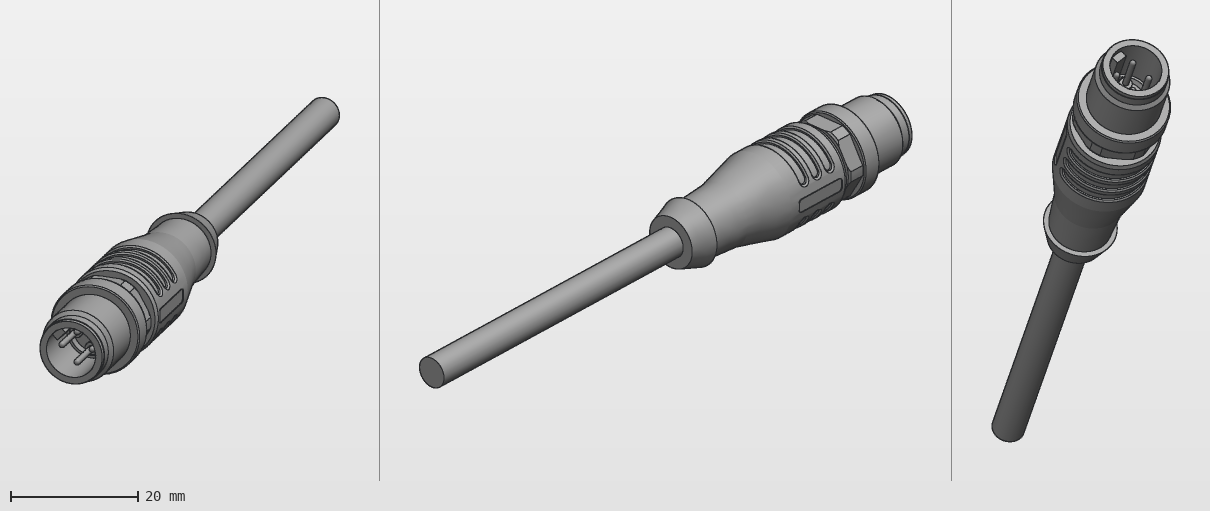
import cadquery as cq
import math


total_length = 106.5
lip_end = 0.7
nose_end = 2.3
collar_front = 10.0
nut_front = 13.4
nut_rear = 16.5
grip_front = 17.5
grip_rear = 30.6
cone_rear = 38.7
sleeve_rear = 46.3
bell_rear = 50.6

lip_diameter = 10.5
nose_diameter = 10.8
thread_diameter = 12.0
collar_diameter = 15.0
neck_diameter = 9.3
grip_diameter = 15.0
cone_rear_diameter = 11.2
sleeve_rear_diameter = 10.1
bell_front_diameter = 11.8
bell_rear_diameter = 9.0
cable_diameter = 5.2

thread_chamfer = (thread_diameter - nose_diameter) / 2
collar_chamfer = 0.2
grip_chamfer_length = 0.6
grip_chamfer_depth = 0.3
nut_chamfer = 0.3

nut_sides = 6
nut_across_flats = 13.0
nut_corner_diameter = 14.1

groove_count = 3
groove_pitch = 3.0
groove_middle = 23.7
groove_width = 1.6
groove_depth = 0.5
groove_end_height = 3.0
groove_rim_chamfer = 0.27

pocket_length = 10.0
pocket_height = 2.3
pocket_depth = 0.2
pocket_corner_radius = 0.6

bore_diameter = 8.3
bore_depth = 8.5
floor_cone_diameter = 7.5
floor_diameter = 6.4
floor_cone_depth = (floor_cone_diameter - floor_diameter) / 2
socket_depth = bore_depth + floor_cone_depth
key_width = 2.0
key_height = 1.3
key_angle = 135
key_recess = 1.1
pin_count = 4
pin_diameter = 1.0
pin_circle_diameter = 5.1
pin_recess = 2.1
pin_tip_radius = 0.48
pin_collar_diameter = 2.1
pin_collar_height = 0.5
root_overlap = 0.5


def revolve_profile(points):
    """Turn (diameter, station) points into a solid around the Y axis."""
    outline = [(diameter / 2, station) for diameter, station in points]
    return cq.Workplane("XY").polyline(outline).close().revolve(360, (0, 0, 0), (0, 1, 0))


def rod(diameter, start, end, x=0.0, z=0.0):
    """Cylinder parallel to Y between two stations."""
    plane = cq.Workplane("XZ", origin=(x, start, z))
    return plane.circle(diameter / 2).extrude(start - end)


def turned_body():
    return revolve_profile([
        (0, 0),
        (lip_diameter, 0),
        (lip_diameter, lip_end),
        (nose_diameter, lip_end),
        (nose_diameter, nose_end),
        (thread_diameter, nose_end + thread_chamfer),
        (thread_diameter, collar_front),
        (collar_diameter - 2 * collar_chamfer, collar_front),
        (collar_diameter, collar_front + collar_chamfer),
        (collar_diameter, nut_front - collar_chamfer),
        (collar_diameter - 2 * collar_chamfer, nut_front),
        (neck_diameter, nut_front),
        (neck_diameter, grip_front),
        (grip_diameter - 2 * grip_chamfer_depth, grip_front),
        (grip_diameter, grip_front + grip_chamfer_length),
        (grip_diameter, grip_rear),
        (cone_rear_diameter, cone_rear),
        (sleeve_rear_diameter, sleeve_rear),
        (bell_front_diameter, sleeve_rear),
        (bell_rear_diameter, bell_rear),
        (cable_diameter, bell_rear),
        (cable_diameter, total_length),
        (0, total_length),
    ])


def coupling_nut():
    across_corners = nut_across_flats / math.cos(math.pi / nut_sides)
    plane = cq.Workplane("XZ", origin=(0, nut_front, 0))
    hexagon = plane.polygon(nut_sides, across_corners).extrude(nut_front - nut_rear)
    blank = rod(nut_corner_diameter, nut_front, nut_rear).faces(">Y").chamfer(nut_chamfer)
    return hexagon.intersect(blank)


def cut_finger_grooves(body):
    groove_floor_diameter = grip_diameter - 2 * groove_depth
    shell = rod(2 * grip_diameter, grip_front, grip_rear)
    shell = shell.cut(rod(groove_floor_diameter, grip_front, grip_rear))
    slot_length = grip_diameter
    slot_middle = groove_end_height + slot_length / 2
    first_groove = groove_middle - groove_pitch * (groove_count - 1) / 2
    centres = [
        (first_groove + index * groove_pitch, side * slot_middle)
        for index in range(groove_count)
        for side in (1, -1)
    ]
    slots = (
        cq.Workplane("YZ")
        .pushPoints(centres)
        .slot2D(slot_length, groove_width, 90)
        .extrude(grip_diameter, both=True)
    )
    grooves = shell.intersect(slots)
    body = body.cut(grooves)
    return chamfer_groove_rims(body)


def chamfer_groove_rims(body):
    """Break the edges where the groove walls meet the outer surface of the grip."""
    radius = grip_diameter / 2
    reach = groove_pitch * groove_count / 2
    tolerance = 0.01

    def on_rim(edge):
        points = edge.positions([0.0, 0.25, 0.5, 0.75])
        on_surface = all(abs(math.hypot(p.x, p.z) - radius) < tolerance for p in points)
        return on_surface and all(abs(p.y - groove_middle) < reach for p in points)

    rims = [edge for edge in body.edges().vals() if on_rim(edge)]
    return body.newObject(rims).chamfer(groove_rim_chamfer)


def cut_side_pockets(body):
    floor_x = grip_diameter / 2 - pocket_depth
    for side in (1, -1):
        pocket = (
            cq.Workplane("XY")
            .box(2 * pocket_depth, pocket_length, pocket_height)
            .edges("|X")
            .fillet(pocket_corner_radius)
            .translate((side * (floor_x + pocket_depth), groove_middle, 0))
        )
        body = body.cut(pocket)
    return body


def socket():
    return revolve_profile([
        (0, 0),
        (bore_diameter, 0),
        (bore_diameter, bore_depth),
        (floor_cone_diameter, bore_depth),
        (floor_diameter, socket_depth),
        (0, socket_depth),
    ])


def key():
    tip_radius = bore_diameter / 2 - key_height
    height = key_height + root_overlap
    length = socket_depth + root_overlap - key_recess
    bar = cq.Workplane("XY").box(height, length, key_width, centered=(False, False, True))
    bar = bar.translate((tip_radius, key_recess, 0))
    return bar.rotate((0, 0, 0), (0, 1, 0), -key_angle)


def contact_pin(angle):
    x = pin_circle_diameter / 2 * math.cos(angle)
    z = pin_circle_diameter / 2 * math.sin(angle)
    root = socket_depth + root_overlap
    pin = rod(pin_diameter, pin_recess, root, x, z).faces("<Y").fillet(pin_tip_radius)
    collar = rod(pin_collar_diameter, socket_depth - pin_collar_height, root, x, z)
    return pin.union(collar)


body = turned_body().union(coupling_nut())
body = cut_finger_grooves(body)
body = cut_side_pockets(body)
body = body.cut(socket()).union(key())
for index in range(pin_count):
    body = body.union(contact_pin(index * 2 * math.pi / pin_count))

result = body